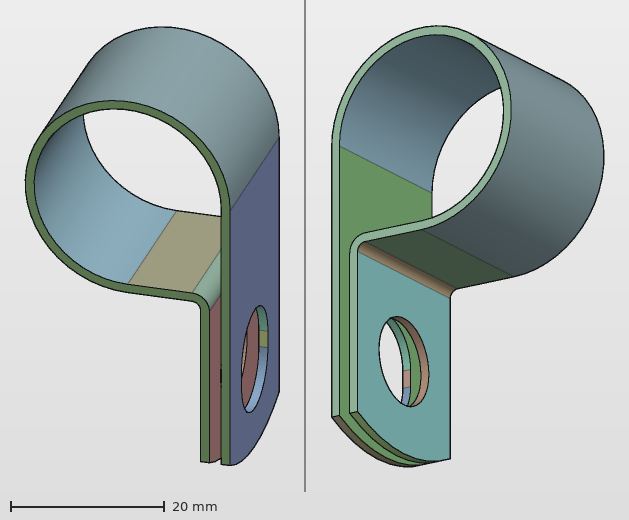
import cadquery as cq
import math

strip_thickness = 1.22
strip_width = 22.225
loop_inner_radius = 12.7
loop_outer_radius = loop_inner_radius + strip_thickness

overall_height = 53.59
leg_end_z = loop_outer_radius - overall_height
leg_gap = 1.6
hole_diameter = 11.9
slot_length = 14.29
slot_angle = 90
hole_to_leg_end = 12.7
hole_z = leg_end_z + hole_to_leg_end
end_radius = 25.4

bend_inner_radius = 1.14
bend_outer_radius = bend_inner_radius + strip_thickness

front_leg_back_x = loop_inner_radius - leg_gap
front_leg_face_x = front_leg_back_x - strip_thickness
bend_x = front_leg_back_x - bend_outer_radius
bend_z = -loop_inner_radius - bend_outer_radius

arc_mid = math.sqrt(0.5)


def make_strip():
    """Bent strip: straight back leg, 270 degree loop, flat, bend and front leg."""
    return (
        cq.Workplane("XZ")
        .moveTo(loop_outer_radius, leg_end_z)
        .lineTo(loop_outer_radius, 0)
        .threePointArc(
            (-loop_outer_radius * arc_mid, loop_outer_radius * arc_mid),
            (0, -loop_outer_radius),
        )
        .lineTo(bend_x, -loop_outer_radius)
        .threePointArc(
            (bend_x + bend_inner_radius * arc_mid, bend_z + bend_inner_radius * arc_mid),
            (front_leg_face_x, bend_z),
        )
        .lineTo(front_leg_face_x, leg_end_z)
        .lineTo(front_leg_back_x, leg_end_z)
        .lineTo(front_leg_back_x, bend_z)
        .threePointArc(
            (bend_x + bend_outer_radius * arc_mid, bend_z + bend_outer_radius * arc_mid),
            (bend_x, -loop_inner_radius),
        )
        .lineTo(0, -loop_inner_radius)
        .threePointArc(
            (-loop_inner_radius * arc_mid, loop_inner_radius * arc_mid),
            (loop_inner_radius, 0),
        )
        .lineTo(loop_inner_radius, leg_end_z)
        .close()
        .extrude(strip_width / 2, both=True)
    )


def make_side_envelope():
    """Block with the clamp's side outline, whose lower edge is the rounded leg end."""
    half_width = strip_width / 2
    end_sagitta = end_radius - math.sqrt(end_radius**2 - half_width**2)
    corner_z = leg_end_z + end_sagitta
    return (
        cq.Workplane("YZ")
        .moveTo(-half_width, loop_outer_radius)
        .lineTo(-half_width, corner_z)
        .threePointArc((0, leg_end_z), (half_width, corner_z))
        .lineTo(half_width, loop_outer_radius)
        .close()
        .extrude(loop_outer_radius, both=True)
    )


def make_front_hole():
    """Round hole along X through the front leg only."""
    return (
        cq.Workplane("YZ", origin=(front_leg_face_x, 0, hole_z))
        .circle(hole_diameter / 2)
        .extrude(strip_thickness)
    )


def make_back_slot():
    """Slot along X through the back leg, as wide as the round hole and lengthened along Z."""
    return (
        cq.Workplane("YZ", origin=(loop_inner_radius, 0, hole_z))
        .slot2D(slot_length, hole_diameter, slot_angle)
        .extrude(strip_thickness)
    )


result = (
    make_strip()
    .intersect(make_side_envelope())
    .cut(make_front_hole())
    .cut(make_back_slot())
)